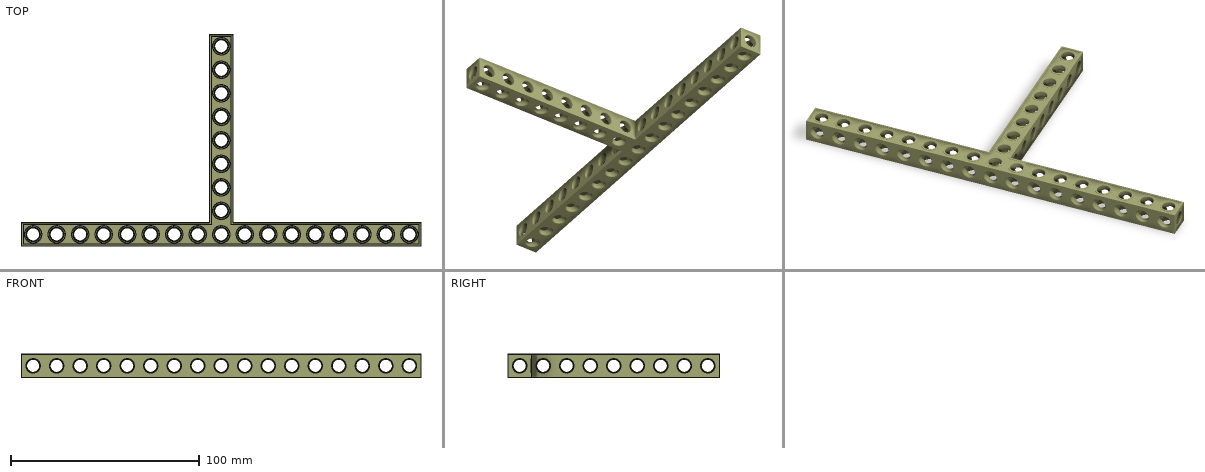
import cadquery as cq

pitch = 12.5
beam_size = pitch
bar_hole_count = 17
stem_hole_count = 8

hole_diameter = 7.0
hole_chamfer = 0.3

wall_width = 1.1
recess_depth = 0.2

bar_length = bar_hole_count * pitch
stem_length = stem_hole_count * pitch
half_beam = beam_size / 2
half_bar = bar_length / 2
stem_end_y = half_beam + stem_length
hole_radius = hole_diameter / 2
mouth_radius = hole_radius + hole_chamfer
collar_radius = hole_radius + wall_width
recess_z = half_beam - recess_depth

bar_hole_xs = [(i - (bar_hole_count - 1) / 2) * pitch for i in range(bar_hole_count)]
stem_hole_ys = [(i + 1) * pitch for i in range(stem_hole_count)]
grid_points = [(x, 0) for x in bar_hole_xs] + [(0, y) for y in stem_hole_ys]

axis_x = cq.Vector(1, 0, 0)
axis_y = cq.Vector(0, 1, 0)
axis_z = cq.Vector(0, 0, 1)


def tee(inset, bottom_z, height):
    """Tee-shaped prism whose outline is drawn in by the given inset."""
    width = beam_size - 2 * inset
    stem_reach = stem_end_y - inset
    bar = cq.Workplane("XY").box(bar_length - 2 * inset, width, height, centered=(True, True, False))
    stem = cq.Workplane("XY").box(width, stem_reach, height, centered=(True, False, False))
    return bar.union(stem).translate((0, 0, bottom_z))


def top_recess():
    """Volume between the rim and the hole collars."""
    collars = (
        cq.Workplane("XY", origin=(0, 0, recess_z))
        .pushPoints(grid_points)
        .circle(collar_radius)
        .extrude(recess_depth)
    )
    return tee(wall_width, recess_z, recess_depth).cut(collars)


def through_hole(start, axis, length):
    """Cutters for a hole from the start point along the axis: the bore and a cone at each mouth."""
    end = start + axis * length
    return [
        cq.Solid.makeCylinder(hole_radius, length, start, axis),
        cq.Solid.makeCone(mouth_radius, hole_radius, hole_chamfer, start, axis),
        cq.Solid.makeCone(mouth_radius, hole_radius, hole_chamfer, end, axis * -1),
    ]


def hole_cutters():
    """Cutters for all holes along Z, Y and X."""
    cutters = []
    for x, y in grid_points:
        cutters += through_hole(cq.Vector(x, y, -half_beam), axis_z, beam_size)
    for x in bar_hole_xs:
        length = beam_size + stem_length if x == 0 else beam_size
        cutters += through_hole(cq.Vector(x, -half_beam, 0), axis_y, length)
    for y in stem_hole_ys:
        cutters += through_hole(cq.Vector(-half_beam, y, 0), axis_x, beam_size)
    cutters += through_hole(cq.Vector(-half_bar, 0, 0), axis_x, bar_length)
    return cutters


body = tee(0, -half_beam, beam_size).cut(top_recess()).val()
result = cq.Workplane(body.cut(*hole_cutters())).solids()